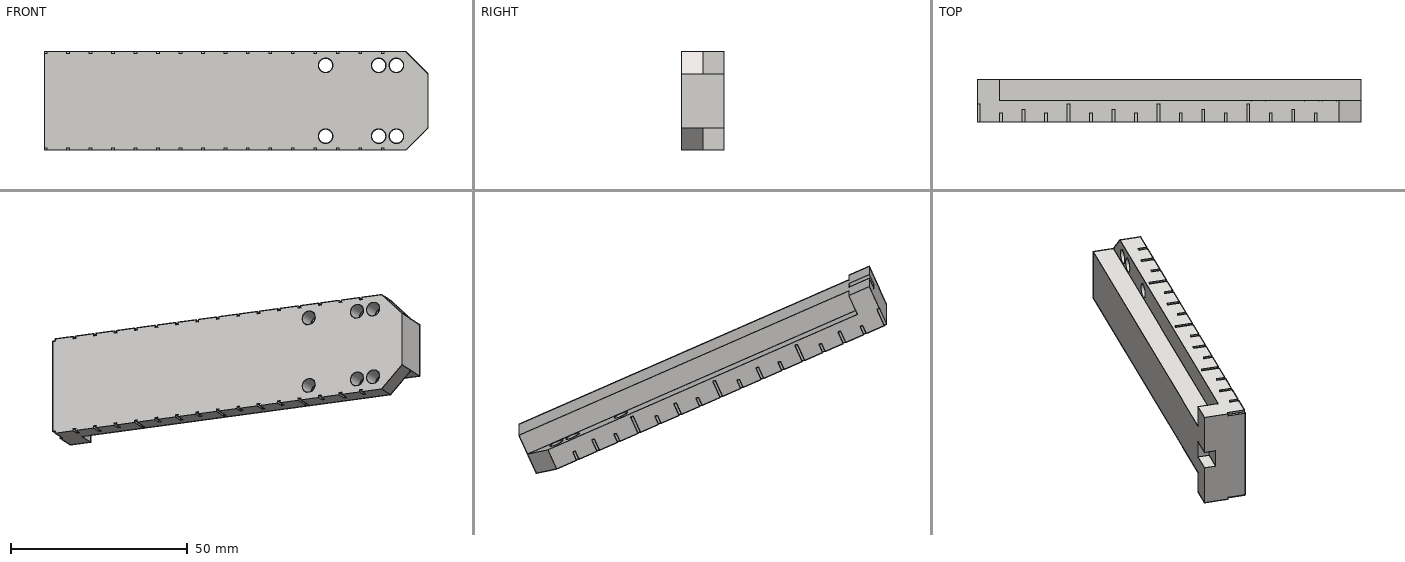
import cadquery as cq

LENGTH = 108.48
THICKNESS = 12.05
HEIGHT = 27.94
QUARTER_INCH = 6.35

PLATE_THICKNESS = 6.1
CORNER_CHAMFER = QUARTER_INCH

HEAD_LENGTH = QUARTER_INCH
RAIL_HEIGHT = HEIGHT - 2 * CORNER_CHAMFER

NOTCH_HEIGHT = 5.0
NOTCH_DEPTH = 3.3

HOLE_DIAMETER = 4.0
HOLE_ROW_OFFSET = 10.0
HOLE_DISTANCES_FROM_TIP = (29.0, 14.0, 9.0)

MARK_PITCH = QUARTER_INCH
MARK_COUNT = 16
MARK_WIDTH = 0.762
MARK_DEPTH = 0.635
INCH_MARK_LENGTH = 5.08
HALF_INCH_MARK_LENGTH = 3.6
QUARTER_INCH_MARK_LENGTH = 2.54
MARKS_PER_INCH = 4
MARKS_PER_HALF_INCH = 2


def block(length, thickness, height, x=0.0, y=0.0, z_middle=0.0):
    """Box with its -X, -Y corner at (x, y) and its middle height at z_middle."""
    box = cq.Workplane("XY").box(length, thickness, height, centered=(False, False, True))
    return box.translate((x, y, z_middle))


def make_plate():
    plate = block(LENGTH, PLATE_THICKNESS, HEIGHT)
    return plate.edges(">X and |Y").chamfer(CORNER_CHAMFER)


def make_head():
    head = block(HEAD_LENGTH, THICKNESS, HEIGHT)
    notch = block(HEAD_LENGTH, NOTCH_DEPTH, NOTCH_HEIGHT, y=THICKNESS - NOTCH_DEPTH)
    return head.cut(notch)


def make_rail():
    return block(
        LENGTH - HEAD_LENGTH,
        THICKNESS - PLATE_THICKNESS,
        RAIL_HEIGHT,
        x=HEAD_LENGTH,
        y=PLATE_THICKNESS,
    )


def drill_holes(body):
    centres = [
        (LENGTH - distance, side * HOLE_ROW_OFFSET)
        for distance in HOLE_DISTANCES_FROM_TIP
        for side in (-1, 1)
    ]
    drills = cq.Workplane("XZ").pushPoints(centres).circle(HOLE_DIAMETER / 2).extrude(-THICKNESS)
    return body.cut(drills)


def mark_length(index):
    if index % MARKS_PER_INCH == 0:
        return INCH_MARK_LENGTH
    if index % MARKS_PER_HALF_INCH == 0:
        return HALF_INCH_MARK_LENGTH
    return QUARTER_INCH_MARK_LENGTH


def cut_ruler_marks(body):
    mark_middle = (HEIGHT - MARK_DEPTH) / 2
    for index in range(MARK_COUNT):
        for side in (-1, 1):
            mark = block(
                MARK_WIDTH,
                mark_length(index),
                MARK_DEPTH,
                x=index * MARK_PITCH,
                z_middle=side * mark_middle,
            )
            body = body.cut(mark)
    return body


body = make_plate().union(make_head()).union(make_rail())
result = cut_ruler_marks(drill_holes(body))